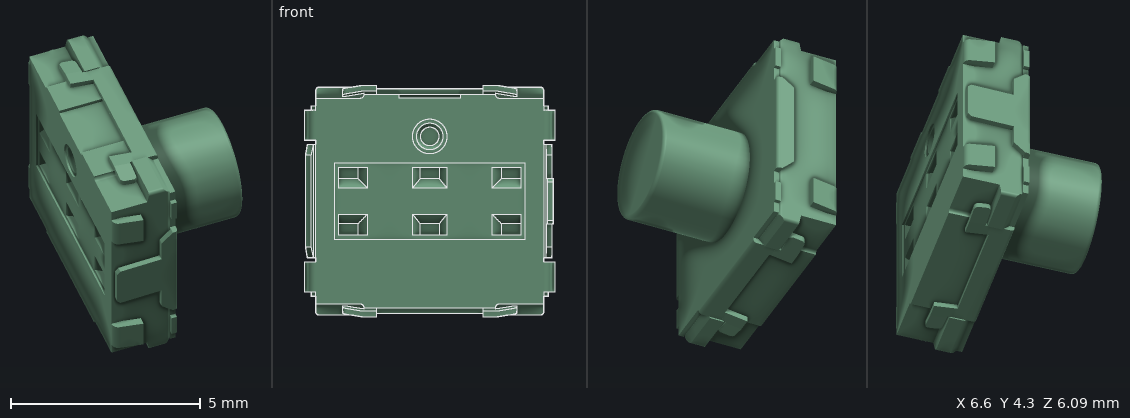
import cadquery as cq
import math


half_side = 3.0
base_depth = 1.65
centre_half_height = 2.81
corner_step = 0.105
block_inner_x = 1.73
block_front_y = 1.01
block_front_rise = 0.06
block_chamfer = 0.18
base_round = 0.1

slot_half_width = 0.805
slot_depth = 0.1

recess_depth = 0.05
panel_half_width = 2.51
panel_half_height = 1.0
panel_border = 0.11
pit_depth = 0.36
pit_slope = 0.245
centre_pit_slope = 0.2
pit_inner_z = 0.35
side_pit_inner_x = 1.645
centre_pit_half_width = 0.45
dimple_z = 1.7
dimple_recess_radius = 0.455
dimple_mouth_radius = 0.35
dimple_floor_radius = 0.245
dimple_depth = 0.16

button_radius = 1.5
button_end_y = 4.3
button_round = 0.1

sheet = 0.15
cover_back_y = base_depth + sheet
cover_bend = 0.09
flap_front_y = 1.195
ear_end_x = 3.12
ear_low_z = 1.9
ear_high_z = 2.51
side_flap_half_top = 1.49
side_flap_half_end = 1.21
side_flap_end_y = 1.33
side_flap_outer_x = 3.215
left_flap_spread = 0.06
right_flap_spread = 0.04
tongue_half_width = 0.6
tongue_end_y = 0.065
tongue_chamfer = 0.09

latch_inner_x = 1.4
latch_bend_x = 1.775
latch_outer_x = 2.29
latch_hinge_y = 1.15
latch_end_y = 0.55
latch_tilt = 8.0
latch_drop = 0.085
latch_round = 0.11

terminal_tip_x = 3.3
terminal_tip_y = 0.79
terminal_bend_x = 3.195
terminal_bend_y = 0.18
terminal_thickness = 0.21
terminal_low_z = 1.6
terminal_high_z = 2.395

overlap = 0.065


def box(x0, x1, y0, y1, z0, z1):
    return cq.Workplane("XY").box(x1 - x0, y1 - y0, z1 - z0, centered=False).translate((x0, y0, z0))


def prism_y(profile, y0, y1):
    """Extrude a profile drawn on XZ from y0 to y1."""
    return profile.extrude(y0 - y1).translate((0, y0, 0))


def mirrored(solid, plane):
    return solid.union(solid.mirror(plane))


def symmetric(points):
    """Close a half outline given as (y, z) points with its mirror image in Z."""
    return points + [(y, -z) for y, z in reversed(points)]


def arc_inset(radius):
    """Distance of a quarter arc's middle point from each of its two tangent sides."""
    return radius * (1 - math.sqrt(0.5))


def make_base():
    corner_z = centre_half_height - corner_step
    arc_mid = arc_inset(corner_step)
    half = prism_y(
        cq.Workplane("XZ")
        .moveTo(-half_side, 0)
        .lineTo(-half_side, corner_z)
        .lineTo(-block_inner_x - corner_step, corner_z)
        .threePointArc(
            (-block_inner_x - arc_mid, corner_z + arc_mid),
            (-block_inner_x, centre_half_height),
        )
        .lineTo(block_inner_x, centre_half_height)
        .threePointArc(
            (block_inner_x + arc_mid, corner_z + arc_mid),
            (block_inner_x + corner_step, corner_z),
        )
        .lineTo(half_side, corner_z)
        .lineTo(half_side, 0)
        .close(),
        0,
        base_depth,
    )
    block = (
        cq.Workplane("YZ")
        .polyline([
            (base_depth, 0),
            (block_front_y, 0),
            (block_front_y, corner_z),
            (block_front_y + block_front_rise, half_side),
            (base_depth - block_chamfer, half_side),
            (base_depth, half_side - block_chamfer),
        ])
        .close()
        .extrude(half_side - block_inner_x)
        .translate((block_inner_x, 0, 0))
    )
    base = mirrored(half.union(mirrored(block, "YZ")), "XY")

    side = 2 * half_side
    envelope = (
        cq.Workplane("XY")
        .box(side, base_depth, side, centered=(True, False, True))
        .edges("|Y")
        .fillet(base_round)
    )
    rounded_back = (
        cq.Workplane("XY")
        .box(side, base_depth, side, centered=(True, False, True))
        .edges("|Z and >Y")
        .fillet(base_round)
    )
    front_half = box(-half_side, half_side, 0, block_front_y, -half_side, half_side)
    slot = box(
        -slot_half_width, slot_half_width, 0, base_depth,
        centre_half_height - slot_depth, centre_half_height,
    )
    return base.intersect(envelope.union(front_half)).intersect(rounded_back).cut(slot)


def pit(x0, x1, slope_left, slope_right):
    """Pit above the panel centre, with a sloped lower wall and the chosen sloped side walls."""
    top_z = panel_half_height - panel_border
    floor_x0 = x0 + slope_left
    floor_x1 = x1 - slope_right
    floor_z0 = pit_inner_z + pit_slope
    return (
        cq.Workplane("XZ", origin=(0, recess_depth, 0))
        .polyline([(x0, pit_inner_z), (x1, pit_inner_z), (x1, top_z), (x0, top_z)])
        .close()
        .workplane(offset=-pit_depth)
        .polyline([(floor_x0, floor_z0), (floor_x1, floor_z0), (floor_x1, top_z), (floor_x0, top_z)])
        .close()
        .loft(ruled=True)
    )


def make_front_recesses():
    panel = box(
        -panel_half_width, panel_half_width, 0, recess_depth, -panel_half_height, panel_half_height
    )
    side_pit_outer_x = panel_half_width - panel_border
    side_pit = pit(side_pit_inner_x, side_pit_outer_x, pit_slope, 0)
    centre_pit = pit(-centre_pit_half_width, centre_pit_half_width, centre_pit_slope, centre_pit_slope)
    pits = mirrored(mirrored(side_pit, "YZ").union(centre_pit), "XY")
    dimple = (
        cq.Workplane("XY")
        .polyline([
            (0, 0),
            (dimple_recess_radius, 0),
            (dimple_recess_radius, recess_depth),
            (dimple_mouth_radius, recess_depth),
            (dimple_floor_radius, recess_depth + dimple_depth),
            (0, recess_depth + dimple_depth),
        ])
        .close()
        .revolve(360, (0, 0), (0, 1))
        .translate((0, 0, dimple_z))
    )
    return panel.union(pits).union(dimple)


def make_button():
    return (
        cq.Workplane("XZ", origin=(0, base_depth, 0))
        .circle(button_radius)
        .extrude(base_depth - button_end_y)
        .faces(">Y")
        .edges()
        .fillet(button_round)
    )


def make_cover_plate():
    plate = box(
        -half_side, half_side, base_depth, cover_back_y, -centre_half_height, centre_half_height
    )
    ear = box(0, ear_end_x, base_depth, cover_back_y, ear_low_z, ear_high_z)
    return plate.union(mirrored(mirrored(ear, "YZ"), "XY"))


def make_top_flap():
    """Flap folded over the top of the base, with a rounded inside corner above the slot."""
    outer_z = centre_half_height + sheet
    bend_mid = arc_inset(cover_bend)
    root_z = centre_half_height - cover_bend
    return (
        cq.Workplane("YZ")
        .moveTo(flap_front_y, centre_half_height)
        .lineTo(base_depth - cover_bend, centre_half_height)
        .threePointArc(
            (base_depth - bend_mid, centre_half_height - bend_mid),
            (base_depth, root_z),
        )
        .lineTo(cover_back_y, root_z)
        .lineTo(cover_back_y, outer_z - cover_bend)
        .threePointArc(
            (cover_back_y - bend_mid, outer_z - bend_mid),
            (cover_back_y - cover_bend, outer_z),
        )
        .lineTo(flap_front_y, outer_z)
        .close()
        .extrude(block_inner_x, both=True)
    )


def make_latch():
    """Latch on the +X end of the top flap, tilted away from the base and bent down at its end."""
    length = latch_hinge_y - latch_end_y + overlap
    bent_sheet = (
        prism_y(
            cq.Workplane("XZ")
            .polyline([
                (latch_inner_x, 0),
                (latch_bend_x, 0),
                (latch_outer_x, -latch_drop),
                (latch_outer_x, sheet - latch_drop),
                (latch_bend_x, sheet),
                (latch_inner_x, sheet),
            ])
            .close(),
            -length,
            0,
        )
        .rotate((0, 0, 0), (1, 0, 0), -latch_tilt)
        .translate((0, latch_hinge_y, centre_half_height))
    )
    outline_low_z = centre_half_height - sheet
    outline_high_z = centre_half_height + 2 * sheet
    root_outline = box(
        latch_inner_x, block_inner_x, latch_end_y, latch_hinge_y, outline_low_z, outline_high_z
    )
    end_outline = (
        box(block_inner_x, latch_outer_x, latch_end_y, block_front_y, outline_low_z, outline_high_z)
        .edges("|Z and >X")
        .fillet(latch_round)
    )
    root = box(
        latch_inner_x, block_inner_x, latch_hinge_y, flap_front_y,
        centre_half_height, centre_half_height + sheet,
    )
    return bent_sheet.intersect(root_outline.union(end_outline)).union(root)


def side_flap(end_y, spread, outline):
    """Flap on the +X side, trimmed to an outline drawn on YZ."""
    bend_mid = arc_inset(cover_bend)
    end_x = side_flap_outer_x + spread
    strip = (
        cq.Workplane("XY")
        .moveTo(half_side - overlap, base_depth)
        .lineTo(half_side - overlap, cover_back_y)
        .lineTo(side_flap_outer_x - cover_bend, cover_back_y)
        .threePointArc(
            (side_flap_outer_x - bend_mid, cover_back_y - bend_mid),
            (side_flap_outer_x, cover_back_y - cover_bend),
        )
        .lineTo(end_x, end_y)
        .lineTo(end_x - sheet, end_y)
        .lineTo(side_flap_outer_x - sheet, base_depth)
        .close()
        .extrude(side_flap_half_top, both=True)
    )
    trim = cq.Workplane("YZ").polyline(outline).close().extrude(terminal_tip_x)
    return strip.intersect(trim)


def make_side_flaps():
    lower_edge = [
        (cover_back_y, -side_flap_half_top),
        (base_depth, -side_flap_half_top),
        (side_flap_end_y, -side_flap_half_end),
    ]
    tongue_edge = [
        (side_flap_end_y, -tongue_half_width),
        (tongue_end_y + tongue_chamfer, -tongue_half_width),
        (tongue_end_y, tongue_chamfer - tongue_half_width),
    ]
    left = side_flap(side_flap_end_y, left_flap_spread, symmetric(lower_edge)).mirror("YZ")
    right = side_flap(tongue_end_y, right_flap_spread, symmetric(lower_edge + tongue_edge))
    return left.union(right)


def make_terminals():
    bend_mid_x = terminal_bend_x - arc_inset(terminal_bend_x - half_side)
    bend_mid_y = arc_inset(terminal_bend_y)
    terminal = (
        cq.Workplane("XY")
        .moveTo(half_side - overlap, 0)
        .lineTo(half_side, 0)
        .threePointArc((bend_mid_x, bend_mid_y), (terminal_bend_x, terminal_bend_y))
        .lineTo(terminal_tip_x, terminal_tip_y)
        .lineTo(terminal_tip_x - terminal_thickness, terminal_tip_y)
        .lineTo(terminal_bend_x - terminal_thickness, terminal_bend_y)
        .lineTo(half_side - overlap, terminal_bend_y)
        .close()
        .extrude(terminal_high_z - terminal_low_z)
        .translate((0, 0, terminal_low_z))
    )
    return mirrored(mirrored(terminal, "YZ"), "XY")


folded_flap = make_top_flap().union(mirrored(make_latch(), "YZ"))
cover = make_cover_plate().union(mirrored(folded_flap, "XY")).union(make_side_flaps())

result = (
    make_base()
    .cut(make_front_recesses())
    .union(cover)
    .union(make_button())
    .union(make_terminals())
)